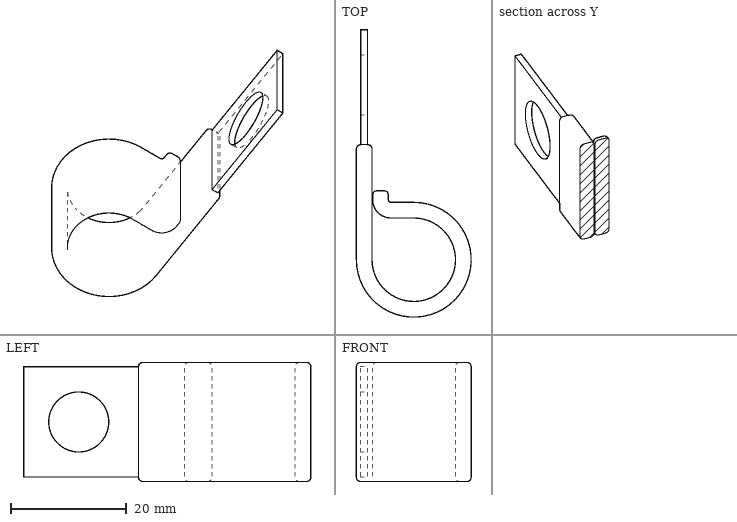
import math

import cadquery as cq


INCH = 25.4
HALF_DIAGONAL = math.sqrt(0.5)

strap_width = 0.75 * INCH
strap_thickness = 0.048 * INCH
cover_wall = 0.03 * INCH
cover_width = strap_width + 2 * cover_wall
cover_thickness = strap_thickness + 2 * cover_wall

ring_outer_radius = 25 / 64 * INCH
ring_inner_radius = ring_outer_radius - cover_thickness

strap_end_y = 39.67
cover_end_y = 2 * ring_outer_radius
strap_hidden_length = cover_end_y / 2

hole_diameter = 13 / 32 * INCH
hole_y = strap_end_y - strap_width / 2

hook_gap = 0.07
hook_outer_radius = 0.125 * INCH
hook_inner_radius = hook_outer_radius - cover_thickness
hook_tip_length = 1.55

leg_outer_x = -ring_outer_radius
leg_inner_x = -ring_inner_radius
leg_middle_x = (leg_outer_x + leg_inner_x) / 2
hook_left_x = leg_inner_x + hook_gap
hook_right_x = hook_left_x + cover_thickness
hook_center_x = hook_left_x + hook_outer_radius
hook_center_y = ring_inner_radius + hook_outer_radius
hook_tip_y = hook_center_y + hook_tip_length


def hook_arc_middle(radius):
    """Point halfway along a quarter arc of the hook bend."""
    offset = radius * HALF_DIAGONAL
    return hook_center_x - offset, hook_center_y - offset


def ring_arc_middle(radius):
    """Point halfway along the 270 degree arc of the ring."""
    offset = radius * HALF_DIAGONAL
    return offset, -offset


def make_cover():
    """Rubber cover: leg, ring and hook, with all its outer edges rounded."""
    body = (
        cq.Workplane("XY")
        .workplane(offset=-cover_width / 2)
        .moveTo(leg_outer_x, cover_end_y)
        .lineTo(leg_outer_x, 0)
        .threePointArc(ring_arc_middle(ring_outer_radius), (0, ring_outer_radius))
        .lineTo(hook_center_x, ring_outer_radius)
        .threePointArc(hook_arc_middle(hook_inner_radius), (hook_right_x, hook_center_y))
        .lineTo(hook_right_x, hook_tip_y)
        .lineTo(hook_left_x, hook_tip_y)
        .lineTo(hook_left_x, hook_center_y)
        .threePointArc(hook_arc_middle(hook_outer_radius), (hook_center_x, ring_inner_radius))
        .lineTo(0, ring_inner_radius)
        .threePointArc(ring_arc_middle(ring_inner_radius), (leg_inner_x, 0))
        .lineTo(leg_inner_x, cover_end_y)
        .close()
        .extrude(cover_width)
    )
    rim_edges = body.faces("|Z").edges()
    corner_edges = [
        edge
        for x, y in (
            (leg_outer_x, cover_end_y),
            (leg_inner_x, cover_end_y),
            (hook_left_x, hook_tip_y),
            (hook_right_x, hook_tip_y),
        )
        for edge in body.edges("|Z").edges(cq.NearestToPointSelector((x, y, 0))).vals()
    ]
    return body.newObject(rim_edges.vals() + corner_edges).fillet(cover_wall)


def make_strap_end():
    """Bare strap end with its mounting hole, rooted inside the cover leg."""
    root_y = cover_end_y - strap_hidden_length
    length = strap_end_y - root_y
    plate = cq.Workplane("XY").box(strap_thickness, length, strap_width)
    plate = plate.translate((leg_middle_x, root_y + length / 2, 0))
    hole = (
        cq.Workplane("YZ")
        .center(hole_y, 0)
        .circle(hole_diameter / 2)
        .extrude(strap_thickness, both=True)
        .translate((leg_middle_x, 0, 0))
    )
    return plate.cut(hole)


result = make_cover().union(make_strap_end())